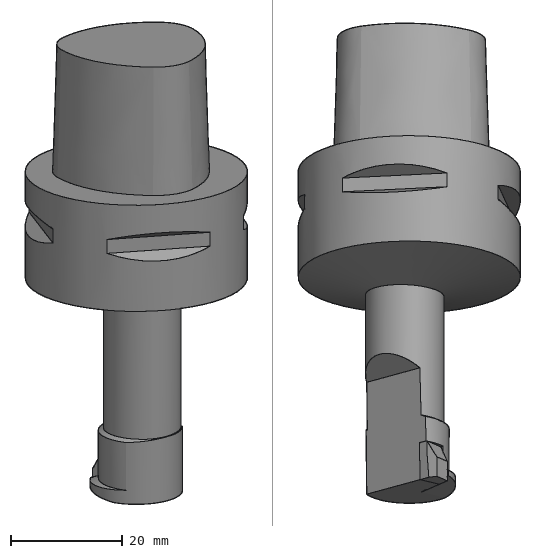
import cadquery as cq
import math

TOTAL_HEIGHT = 84.1
FLANGE_RADIUS = 40.0 / 2
FLANGE_BOTTOM = 40.1
FLANGE_TOP = 60.15
CONE_HEIGHT = 3.6
CONE_END_RADIUS = 5.5
LOBE_DISTANCE = 7.1
LOBE_RADIUS_BASE = 8.0
LOBE_RADIUS_TOP = 7.2

SLOT_COUNT = 4
SLOT_FIRST_ANGLE = 45
SLOT_MIDDLE = 52.2
SLOT_FLOOR_DISTANCE = 17.6
SLOT_FLOOR_HEIGHT = 2.6
SLOT_MOUTH_HEIGHT = 5.3

BAR_SHIFT = 1.35
SHANK_RADIUS = 7.1
SHANK_TRIM_RADIUS = 8.1
HEAD_RADIUS = 8.3
RELIEF_RADIUS = 8.0
RIM_TOP = 2.6
RIM_SLOPE_DROP = 0.7
RIM_SLOPE_WIDTH = 1.7
HEAD_TOP = 12.1
HEAD_CHAMFER_HEIGHT = 0.5

CHIP_FLAT_ANGLE = 13.5
CHIP_FLAT_BOTTOM_OFFSET = 2.4
CHIP_FLAT_TOP_OFFSET = 2.95
CHIP_FLAT_TOP = 21.0
CHIP_RUNOUT_OFFSET = 6.7
CHIP_RUNOUT_TOP = 24.0
CUTTER_REACH = 33.65

TIP_LAND_HEIGHT = 3.7
TIP_HEIGHT = 7.0
TIP_SHOULDER_X = -6.4
TIP_INNER_X = -5.05
TIP_DEPTH = 3.0
TIP_FLANK_SETBACK = 0.9
RAKE_BREAK_X = -6.7
RAKE_BREAK_Y = 1.0
RAKE_INNER_Y = 1.4

CLEARANCE_HEIGHT = 0.9
CLEARANCE_END_X = 0.4


def disc(radius, bottom, top, shift=0.0):
    return cq.Workplane("XY", origin=(shift, 0, bottom)).circle(radius).extrude(top - bottom)


def polar(distance, angle):
    radians = math.radians(angle)
    return (distance * math.cos(radians), distance * math.sin(radians))


def lobed_outline(plane, lobe_radius):
    """Reuleaux triangle with rounded corners: three lobe arcs joined by three wide arcs."""
    side_radius = lobe_radius + LOBE_DISTANCE * math.sqrt(3)

    def point(lobe_angle, radius, direction):
        center_x, center_y = polar(LOBE_DISTANCE, lobe_angle)
        offset_x, offset_y = polar(radius, direction)
        return (center_x + offset_x, center_y + offset_y)

    outline = plane.moveTo(*point(-30, lobe_radius, -60))
    for lobe_angle in (-30, 90, 210):
        outline = outline.threePointArc(
            point(lobe_angle, lobe_radius, lobe_angle), point(lobe_angle, lobe_radius, lobe_angle + 30)
        )
        opposite = lobe_angle - 120
        next_lobe = lobe_angle + 120
        outline = outline.threePointArc(
            point(opposite, side_radius, opposite + 180), point(next_lobe, lobe_radius, next_lobe - 30)
        )
    return outline.close()


def make_taper():
    base = lobed_outline(cq.Workplane("XY", origin=(0, 0, FLANGE_TOP)), LOBE_RADIUS_BASE)
    top_plane = base.workplane(offset=TOTAL_HEIGHT - FLANGE_TOP)
    return lobed_outline(top_plane, LOBE_RADIUS_TOP).loft(combine=True, ruled=True)


def make_slot_cutter(angle):
    """Trapezoid groove along a chord, widening from its floor to the flange surface."""
    depth = FLANGE_RADIUS - SLOT_FLOOR_DISTANCE
    half_floor = SLOT_FLOOR_HEIGHT / 2
    half_mouth = SLOT_MOUTH_HEIGHT / 2
    half_outside = 2 * half_mouth - half_floor
    outside = FLANGE_RADIUS + depth
    return (
        cq.Workplane("XZ")
        .polyline([
            (SLOT_FLOOR_DISTANCE, SLOT_MIDDLE - half_floor),
            (outside, SLOT_MIDDLE - half_outside),
            (outside, SLOT_MIDDLE + half_outside),
            (SLOT_FLOOR_DISTANCE, SLOT_MIDDLE + half_floor),
        ])
        .close()
        .extrude(FLANGE_RADIUS, both=True)
        .rotate((0, 0, 0), (0, 0, 1), angle)
    )


def make_shank():
    shank = disc(SHANK_RADIUS, 0, FLANGE_BOTTOM, BAR_SHIFT)
    return shank.intersect(disc(SHANK_TRIM_RADIUS, 0, FLANGE_BOTTOM))


def make_adapter():
    body = (
        cq.Workplane("XZ")
        .polyline([
            (0, FLANGE_BOTTOM - CONE_HEIGHT),
            (CONE_END_RADIUS, FLANGE_BOTTOM - CONE_HEIGHT),
            (FLANGE_RADIUS, FLANGE_BOTTOM),
            (FLANGE_RADIUS, FLANGE_TOP),
            (0, FLANGE_TOP),
        ])
        .close()
        .revolve(360, (0, 0, 0), (0, 1, 0))
        .union(make_taper())
    )
    for index in range(SLOT_COUNT):
        body = body.cut(make_slot_cutter(SLOT_FIRST_ANGLE + index * 360 / SLOT_COUNT))
    return body.cut(make_shank())


def make_head():
    """Round head with an eccentric relief that leaves a rim along its lower edge."""
    relief_edge = RELIEF_RADIUS + RIM_SLOPE_WIDTH
    envelope = (
        cq.Workplane("XZ")
        .polyline([
            (0, 0),
            (relief_edge, 0),
            (relief_edge, RIM_TOP - RIM_SLOPE_DROP),
            (RELIEF_RADIUS, RIM_TOP),
            (RELIEF_RADIUS, HEAD_TOP - HEAD_CHAMFER_HEIGHT),
            (SHANK_RADIUS, HEAD_TOP),
            (0, HEAD_TOP),
        ])
        .close()
        .revolve(360, (0, 0, 0), (0, 1, 0))
        .translate((BAR_SHIFT, 0, 0))
    )
    return disc(HEAD_RADIUS, 0, HEAD_TOP).intersect(envelope)


def make_chip_cutter():
    return (
        cq.Workplane("YZ")
        .polyline([
            (CHIP_FLAT_BOTTOM_OFFSET, 0),
            (CUTTER_REACH, 0),
            (CUTTER_REACH, CHIP_RUNOUT_TOP),
            (CHIP_RUNOUT_OFFSET, CHIP_RUNOUT_TOP),
            (CHIP_FLAT_TOP_OFFSET, CHIP_FLAT_TOP),
        ])
        .close()
        .extrude(CUTTER_REACH, both=True)
        .rotate((0, 0, 0), (0, 0, 1), CHIP_FLAT_ANGLE)
    )


def make_clearance_cutter():
    """Wedge that lifts the lower face beside the tip."""
    return (
        cq.Workplane("XZ", origin=(0, -TIP_DEPTH, 0))
        .polyline([(-HEAD_RADIUS, 0), (CLEARANCE_END_X, 0), (-HEAD_RADIUS, CLEARANCE_HEIGHT)])
        .close()
        .extrude(HEAD_RADIUS)
    )


def tip_side_wire(shift_x, y):
    """Tip outline in an XZ plane at the given Y, with its sloping shoulder."""
    corners = [
        (-HEAD_RADIUS + shift_x, 0),
        (-HEAD_RADIUS + shift_x, TIP_LAND_HEIGHT),
        (TIP_SHOULDER_X + shift_x, TIP_HEIGHT),
        (0, TIP_HEIGHT),
        (0, 0),
    ]
    return cq.Wire.makePolygon([cq.Vector(x, y, z) for x, z in corners], close=True)


def make_tip():
    """Tip whose flank and shoulder slant back from the rake face."""
    plan = (
        cq.Workplane("XY")
        .polyline([
            (-HEAD_RADIUS, 0),
            (-HEAD_RADIUS + TIP_FLANK_SETBACK, -TIP_DEPTH),
            (TIP_INNER_X, -TIP_DEPTH),
            (TIP_INNER_X, RAKE_INNER_Y),
            (RAKE_BREAK_X, RAKE_BREAK_Y),
        ])
        .close()
        .extrude(TIP_HEIGHT)
    )
    back_wire = tip_side_wire(-TIP_FLANK_SETBACK, TIP_DEPTH)
    front_wire = tip_side_wire(TIP_FLANK_SETBACK, -TIP_DEPTH)
    side_block = cq.Solid.makeLoft([back_wire, front_wire], True)
    return plan.intersect(cq.Workplane(side_block)).cut(make_chip_cutter())


def make_tip_pocket_cutter():
    """Full-height space around the tip, open toward -X and toward the chip flat."""
    size_x = TIP_INNER_X + HEAD_RADIUS
    size_y = 2 * TIP_DEPTH
    return cq.Workplane("XY").box(size_x, size_y, TIP_HEIGHT, centered=False).translate(
        (-HEAD_RADIUS, -TIP_DEPTH, 0)
    )


def make_bar():
    body = make_shank().union(make_head())
    body = body.cut(make_chip_cutter())
    body = body.cut(make_clearance_cutter())
    return body.cut(make_tip_pocket_cutter())


adapter = make_adapter()
boring_bar = make_bar()
cutting_tip = make_tip()

result = cq.Compound.makeCompound([body.solids().val() for body in (adapter, boring_bar, cutting_tip)])